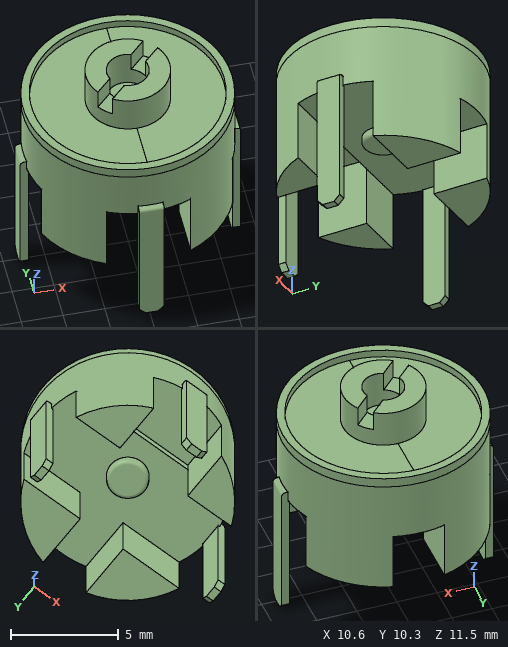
import cadquery as cq

TOTAL_HEIGHT = 11.5
RIM_TOP = 9.99
PLATE_TOP = 9.6
HOUSING_TOP = 9.5
FRONT_NOTCH_TOP = 7.0
DRUM_BOTTOM = 6.5
STEM_BOTTOM = 6.1
LEG_BOTTOM = 3.5

DRUM_RADIUS = 5.0
RIM_INNER_RADIUS = 4.6
WIDE_GAP = 4.0
REAR_GAP = 2.53

BOSS_RADIUS = 2.0
STEM_RADIUS = 1.0
STEM_EDGE_FILLET = 0.2
DRIVER_SLOT_WIDTH = 0.8
DRIVER_SLOT_DEPTH = 1.0
DRIVER_SLOT_ANGLE = 45.0

PIN_REACH = 5.28
PIN_THICKNESS = 0.4
PIN_WIDTH = 1.2
PIN_LENGTH = 7.0
PIN_TIP_CHAMFER = 0.3
PIN_TOP_FILLET = 0.2
FRONT_PIN_LIFT = 0.5
PIN_PLACES = [(0, FRONT_PIN_LIFT), (90, 0), (-90, 0)]


def disc(radius, bottom, top):
    return cq.Workplane("XY").workplane(offset=bottom).circle(radius).extrude(top - bottom)


def block(x_range, y_range, z_range):
    """Box given by its lower and upper limit on each axis."""
    (x0, x1), (y0, y1), (z0, z1) = x_range, y_range, z_range
    return cq.Workplane("XY").box(x1 - x0, y1 - y0, z1 - z0, centered=False).translate((x0, y0, z0))


def make_pin(angle, tip_height):
    """Flat pin with a chamfered tip and a rounded outer top edge."""
    pin = block(
        (-PIN_WIDTH / 2, PIN_WIDTH / 2),
        (-PIN_REACH, PIN_THICKNESS - PIN_REACH),
        (tip_height, tip_height + PIN_LENGTH),
    )
    pin = pin.faces("<Z").edges("|Y").chamfer(PIN_TIP_CHAMFER)
    pin = pin.faces(">Z").edges("<Y").fillet(PIN_TOP_FILLET)
    return pin.rotate((0, 0, 0), (0, 0, 1), angle)


def make_housing(pins):
    """Drum on four legs, bored for the rotor stem and notched for the pins."""
    housing = disc(DRUM_RADIUS, LEG_BOTTOM, HOUSING_TOP)
    gap_height = (LEG_BOTTOM, DRUM_BOTTOM)
    across = (-DRUM_RADIUS, DRUM_RADIUS)
    wide = (-WIDE_GAP / 2, WIDE_GAP / 2)
    housing = housing.cut(block(across, wide, gap_height))
    housing = housing.cut(block(wide, (-DRUM_RADIUS, 0), gap_height))
    housing = housing.cut(block((-REAR_GAP / 2, REAR_GAP / 2), (0, DRUM_RADIUS), gap_height))

    housing = housing.cut(block(wide, (-DRUM_RADIUS, -WIDE_GAP / 2), (LEG_BOTTOM, FRONT_NOTCH_TOP)))

    housing = housing.cut(disc(STEM_RADIUS, LEG_BOTTOM, HOUSING_TOP))
    for pin in pins:
        housing = housing.cut(pin)
    return housing


def make_rim():
    return disc(DRUM_RADIUS, HOUSING_TOP, RIM_TOP).cut(disc(RIM_INNER_RADIUS, HOUSING_TOP, RIM_TOP))


def make_half_plate(side):
    """Half of the annular plate inside the rim; side is -1 for -X or 1 for +X."""
    ring = disc(RIM_INNER_RADIUS, HOUSING_TOP, PLATE_TOP).cut(disc(BOSS_RADIUS, HOUSING_TOP, PLATE_TOP))
    x_range = sorted((0, side * RIM_INNER_RADIUS))
    half = block(x_range, (-RIM_INNER_RADIUS, RIM_INNER_RADIUS), (HOUSING_TOP, PLATE_TOP))
    return ring.intersect(half)


def make_rotor():
    """Slotted boss with a blind hole, on a stem through the housing."""
    stem = disc(STEM_RADIUS, STEM_BOTTOM, HOUSING_TOP).faces("<Z").edges().fillet(STEM_EDGE_FILLET)
    rotor = disc(BOSS_RADIUS, HOUSING_TOP, TOTAL_HEIGHT).union(stem)
    rotor = rotor.cut(disc(STEM_RADIUS, PLATE_TOP, TOTAL_HEIGHT))
    slot = block(
        (-BOSS_RADIUS, BOSS_RADIUS),
        (-DRIVER_SLOT_WIDTH / 2, DRIVER_SLOT_WIDTH / 2),
        (TOTAL_HEIGHT - DRIVER_SLOT_DEPTH, TOTAL_HEIGHT),
    )
    return rotor.cut(slot.rotate((0, 0, 0), (0, 0, 1), DRIVER_SLOT_ANGLE))


pins = [make_pin(angle, tip_height) for angle, tip_height in PIN_PLACES]
housing = make_housing(pins)
rim = make_rim()
half_plates = [make_half_plate(side) for side in (-1, 1)]
rotor = make_rotor()

bodies = [housing, rim, rotor, *half_plates, *pins]
result = cq.Compound.makeCompound([body.val() for body in bodies])